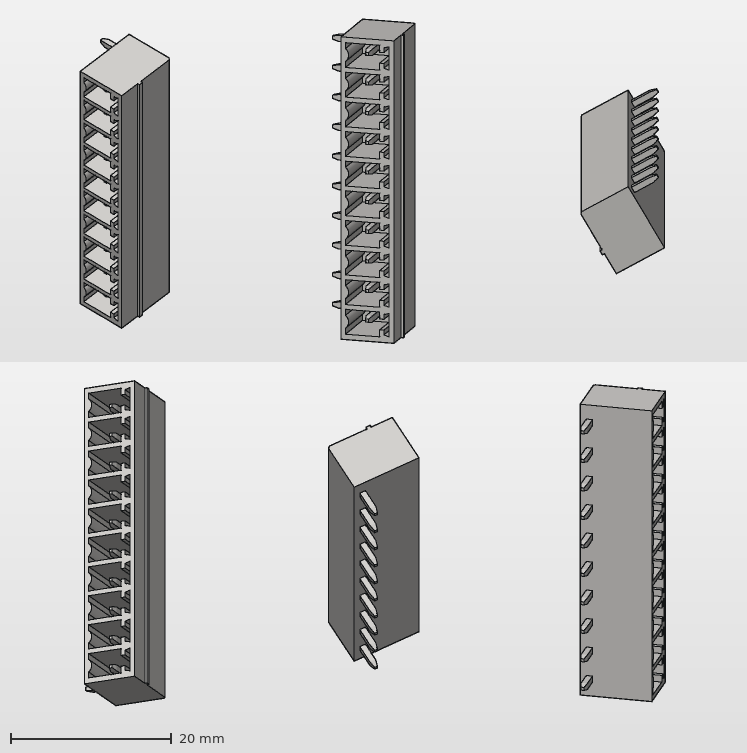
import cadquery as cq


PIN_COUNT = 10
PITCH = 3.81
END_MARGIN = 2.3
BODY_WIDTH = 6.9
BODY_DEPTH = 9.2
BODY_HEIGHT = (PIN_COUNT - 1) * PITCH + 2 * END_MARGIN
BACK_CHAMFER = 0.25

RIB_HEIGHT = 0.3
RIB_WIDTH = 0.6
RIB_Y = 3.3

CHAMBER_DEPTH = 7.2
ROOM_X_START = 0.6
ROOM_X_END = 5.05
NECK_X_END = 5.6
SLOT_X_END = 6.25
PARTITION = 0.62
ROOM_HALF = (PITCH - PARTITION) / 2
NECK_HALF = 0.7
SLOT_INNER_HALF = 1.3
SLOT_OUTER_HALF = 1.5
BULGE_HALF = 0.83
BULGE_HEIGHT = 0.4

PIN_SIZE = 0.8
PIN_TIP_SIZE = 0.4
PIN_TIP_LENGTH = 0.85
TAIL_LENGTH = 3.5
TAIL_Y = BODY_DEPTH - 1.2
CONTACT_X = 3.0
CONTACT_TIP_Y = 1.35
COLLAR_DIAMETER = 1.8
COLLAR_HEIGHT = 0.5


def make_body():
    """Block with one chamfered rear edge and the long side rib."""
    block = (
        cq.Workplane("XY")
        .box(BODY_WIDTH, BODY_DEPTH, BODY_HEIGHT, centered=False)
        .edges("|Z and >X and >Y")
        .chamfer(BACK_CHAMFER)
    )
    rib_root = SLOT_X_END
    rib = (
        cq.Workplane("XY")
        .box(BODY_WIDTH + RIB_HEIGHT - rib_root, RIB_WIDTH, BODY_HEIGHT, centered=False)
        .translate((rib_root, RIB_Y - RIB_WIDTH / 2, 0))
    )
    return block.union(rib)


def make_chamber(z):
    """Volume of one chamber, centred at height z and open at the front."""
    return (
        cq.Workplane("XZ", origin=(0, 0, z))
        .moveTo(ROOM_X_START, BULGE_HALF)
        .lineTo(ROOM_X_START, ROOM_HALF)
        .lineTo(ROOM_X_END, ROOM_HALF)
        .lineTo(ROOM_X_END, NECK_HALF)
        .lineTo(NECK_X_END, NECK_HALF)
        .lineTo(NECK_X_END, SLOT_INNER_HALF)
        .lineTo(SLOT_X_END, SLOT_OUTER_HALF)
        .lineTo(SLOT_X_END, -SLOT_OUTER_HALF)
        .lineTo(NECK_X_END, -SLOT_INNER_HALF)
        .lineTo(NECK_X_END, -NECK_HALF)
        .lineTo(ROOM_X_END, -NECK_HALF)
        .lineTo(ROOM_X_END, -ROOM_HALF)
        .lineTo(ROOM_X_START, -ROOM_HALF)
        .lineTo(ROOM_X_START, -BULGE_HALF)
        .threePointArc((ROOM_X_START + BULGE_HEIGHT, 0), (ROOM_X_START, BULGE_HALF))
        .close()
        .extrude(-CHAMBER_DEPTH)
    )


def make_pin(root, direction, length):
    """Square pin with a tapered tip, running from root along direction."""
    shank = (
        cq.Workplane(cq.Plane(origin=root, xDir=(0, 0, 1), normal=direction))
        .rect(PIN_SIZE, PIN_SIZE)
        .extrude(length - PIN_TIP_LENGTH)
    )
    tip = (
        shank.faces(cq.selectors.DirectionMinMaxSelector(cq.Vector(*direction)))
        .workplane()
        .rect(PIN_SIZE, PIN_SIZE)
        .workplane(offset=PIN_TIP_LENGTH)
        .rect(PIN_TIP_SIZE, PIN_TIP_SIZE)
        .loft(combine=False)
    )
    return shank.union(tip)


def make_tail(z):
    """Solder tail; inside the body it reaches the line of the contact."""
    return make_pin((CONTACT_X, TAIL_Y, z), (-1, 0, 0), CONTACT_X + TAIL_LENGTH)


def make_contact(z):
    """Contact pin, joined to the tail behind the chamber floor."""
    return make_pin((CONTACT_X, TAIL_Y, z), (0, -1, 0), TAIL_Y - CONTACT_TIP_Y)


def make_collar(z):
    """Low round collar on the chamber floor, around the contact."""
    return (
        cq.Workplane("XZ", origin=(CONTACT_X, CHAMBER_DEPTH, z))
        .circle(COLLAR_DIAMETER / 2)
        .extrude(COLLAR_HEIGHT)
    )


result = make_body()
for index in range(PIN_COUNT):
    pin_z = END_MARGIN + index * PITCH
    result = result.cut(make_chamber(pin_z))
    result = result.union(make_collar(pin_z))
    result = result.union(make_contact(pin_z))
    result = result.union(make_tail(pin_z))